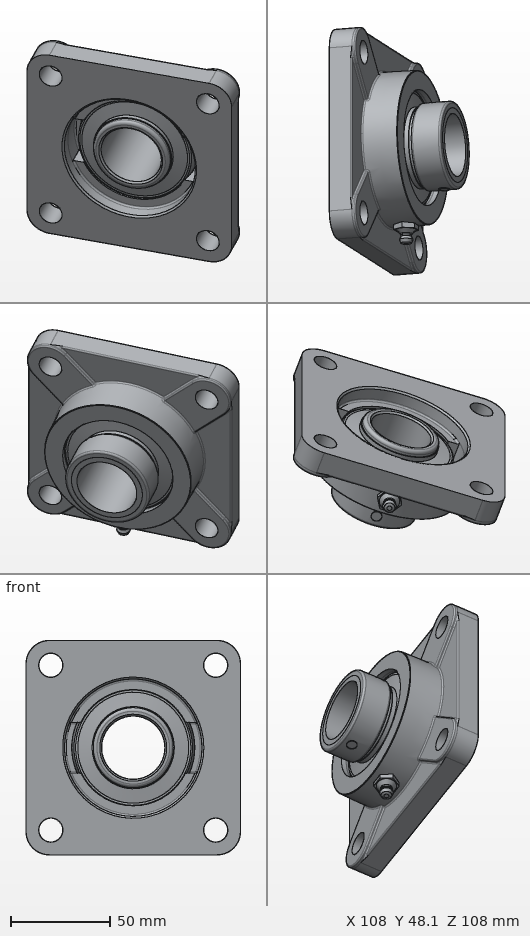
import cadquery as cq
import math


FLANGE_SIDE = 108.0
CORNER_RADIUS = 11.9
PLATE_THICKNESS = 12.1
BOLT_HOLE_DIAMETER = 12.0
BOLT_OFFSET = 41.5
BOSS_HEIGHT = 14.0
CASTING_FILLET = 0.8

HOUSING_BACK = 31.0
BARREL_BASE_RADIUS = 39.4
BARREL_BACK_RADIUS = 39.0
BARREL_CHAMFER = 0.3
RECESS_RADIUS = 34.6
RECESS_EDGE = 1.0
SEAT_OPENING_RADIUS = 29.3
LOADING_SLOT_WIDTH = 25.5
LOADING_SLOT_FILLET = 0.9

BEARING_CENTRE = 18.0
SEAT_RADIUS = 31.0
OUTER_RING_WIDTH = 18.0
OUTER_RING_CHAMFER = 0.6
SEAL_DIAMETER = 55.8
SEAL_BULGE = 1.0
SEAL_THICKNESS = 1.1
INNER_RING_DIAMETER = 41.4
INNER_RING_NECK_DIAMETER = 40.3
INNER_RING_SHOULDER = 12.4
INNER_RING_END_DIAMETER = 37.7
INNER_RING_FRONT = 2.4
INNER_RING_FILLET = 1.8
BORE_DIAMETER = 31.8
BORE_CHAMFER = 1.0

COLLAR_DIAMETER = 44.5
COLLAR_FRONT = 32.2
COLLAR_BACK = 48.1
COLLAR_FILLET = 1.1
SCREW_DIAMETER = 5.4
SCREW_CENTRE = 42.1
SCREW_END_RADIUS = 22.6

NIPPLE_CENTRE = 21.9
NIPPLE_HEX_FLATS = 11.1
NIPPLE_HEX_END = 41.8
NIPPLE_CONE_END = 43.8
NIPPLE_CONE_DIAMETER = 6.0
NIPPLE_STEM_DIAMETER = 5.4
NIPPLE_NECK_START = 44.5
NIPPLE_HEAD_START = 45.3
NIPPLE_HEAD_WIDEST = 46.9
NIPPLE_HEAD_DIAMETER = 6.9
NIPPLE_HEAD_END = 48.6
NIPPLE_TIP_DIAMETER = 2.5
NIPPLE_END = 49.1

SEAT_HALF_OPENING = math.sqrt(SEAT_RADIUS**2 - SEAT_OPENING_RADIUS**2)
RECESS_DEPTH = BEARING_CENTRE - SEAT_HALF_OPENING
NIPPLE_SHANK_START = SEAT_RADIUS + 1.1


def revolve(profile):
    """Turn a closed (radius, y) profile about the shaft axis."""
    return profile.close().revolve(360, (0, 0), (0, 1))


def along_y(start):
    """Workplane at y = start whose x is X, whose y is Z, and whose negative normal is +Y."""
    return cq.Workplane("XZ", origin=(0, start, 0))


def make_flange():
    return (
        along_y(0)
        .rect(FLANGE_SIDE, FLANGE_SIDE)
        .extrude(-PLATE_THICKNESS)
        .edges("|Y")
        .fillet(CORNER_RADIUS)
    )


def make_bolt_bosses(angle):
    """Pair of round-ended bosses running along one diagonal into opposite corners."""
    reach = (FLANGE_SIDE / 2 - CORNER_RADIUS) * math.sqrt(2)
    return (
        along_y(0)
        .slot2D(2 * (reach + CORNER_RADIUS), 2 * CORNER_RADIUS, angle)
        .extrude(-BOSS_HEIGHT)
    )


def make_barrel():
    return revolve(
        cq.Workplane("XY")
        .lineTo(BARREL_BASE_RADIUS, 0)
        .lineTo(BARREL_BASE_RADIUS, PLATE_THICKNESS)
        .lineTo(BARREL_BACK_RADIUS, HOUSING_BACK - BARREL_CHAMFER)
        .lineTo(BARREL_BACK_RADIUS - BARREL_CHAMFER, HOUSING_BACK)
        .lineTo(0, HOUSING_BACK)
    )


def make_housing():
    housing = make_flange().union(make_barrel())
    housing = housing.union(make_bolt_bosses(45)).union(make_bolt_bosses(-45))
    around_cast_faces = cq.selectors.BoxSelector(
        (-FLANGE_SIDE, PLATE_THICKNESS - 0.1, -FLANGE_SIDE),
        (FLANGE_SIDE, BOSS_HEIGHT + 0.1, FLANGE_SIDE),
    )
    housing = housing.edges(around_cast_faces).fillet(CASTING_FILLET)
    bolts = [(sx * BOLT_OFFSET, sz * BOLT_OFFSET) for sx in (-1, 1) for sz in (-1, 1)]
    bolt_holes = along_y(0).pushPoints(bolts).circle(BOLT_HOLE_DIAMETER / 2).extrude(-BOSS_HEIGHT)
    housing = housing.cut(bolt_holes)
    return housing.cut(make_cavity()).cut(make_loading_slots()).cut(make_nipple_hole())


def make_cavity():
    """Front recess, spherical bearing seat and rear opening."""
    floor_radius = RECESS_RADIUS - RECESS_EDGE
    bend = RECESS_EDGE * (1 - math.sqrt(0.5))
    return revolve(
        cq.Workplane("XY")
        .lineTo(RECESS_RADIUS + RECESS_EDGE, 0)
        .lineTo(RECESS_RADIUS, RECESS_EDGE)
        .lineTo(RECESS_RADIUS, RECESS_DEPTH - RECESS_EDGE)
        .threePointArc((RECESS_RADIUS - bend, RECESS_DEPTH - bend), (floor_radius, RECESS_DEPTH))
        .lineTo(SEAT_OPENING_RADIUS, RECESS_DEPTH)
        .threePointArc(
            (SEAT_RADIUS, BEARING_CENTRE),
            (SEAT_OPENING_RADIUS, BEARING_CENTRE + SEAT_HALF_OPENING),
        )
        .lineTo(SEAT_OPENING_RADIUS, HOUSING_BACK)
        .lineTo(0, HOUSING_BACK)
    )


def make_loading_slots():
    """Bar across the recess through which the insert is turned into its seat."""
    start = RECESS_DEPTH - RECESS_EDGE
    bar = along_y(start).rect(2 * FLANGE_SIDE, LOADING_SLOT_WIDTH).extrude(start - BEARING_CENTRE)
    limit = along_y(start).circle(RECESS_RADIUS).extrude(start - BEARING_CENTRE)
    return bar.intersect(limit).faces(">Y").edges().fillet(LOADING_SLOT_FILLET)


def make_outer_ring():
    half_width = OUTER_RING_WIDTH / 2
    chamfered_half = half_width - OUTER_RING_CHAMFER
    edge_radius = math.sqrt(SEAT_RADIUS**2 - chamfered_half**2)
    face_radius = math.sqrt(SEAT_RADIUS**2 - half_width**2) - OUTER_RING_CHAMFER
    bore_radius = SEAL_DIAMETER / 2
    front = BEARING_CENTRE - half_width
    back = BEARING_CENTRE + half_width
    return revolve(
        cq.Workplane("XY")
        .moveTo(bore_radius, front)
        .lineTo(face_radius, front)
        .lineTo(edge_radius, BEARING_CENTRE - chamfered_half)
        .threePointArc((SEAT_RADIUS, BEARING_CENTRE), (edge_radius, BEARING_CENTRE + chamfered_half))
        .lineTo(face_radius, back)
        .lineTo(bore_radius, back)
    )


def make_seal(side):
    """Dished ring closing one end of the insert; side is -1 at the front and +1 at the back."""
    outer_radius = SEAL_DIAMETER / 2
    inner_radius = INNER_RING_DIAMETER / 2
    rim = BEARING_CENTRE + side * OUTER_RING_WIDTH / 2
    crown = rim + side * SEAL_BULGE
    return revolve(
        cq.Workplane("XY")
        .moveTo(outer_radius, rim)
        .lineTo(inner_radius, crown)
        .lineTo(inner_radius, crown - side * SEAL_THICKNESS)
        .lineTo(outer_radius, rim - side * SEAL_THICKNESS)
    )


def make_inner_ring():
    body = INNER_RING_DIAMETER / 2
    outer = INNER_RING_NECK_DIAMETER / 2
    front_shoulder = BEARING_CENTRE - INNER_RING_SHOULDER
    back_shoulder = BEARING_CENTRE + INNER_RING_SHOULDER
    bore = BORE_DIAMETER / 2
    bend = INNER_RING_FILLET * (1 - math.sqrt(0.5))
    return revolve(
        cq.Workplane("XY")
        .moveTo(bore + BORE_CHAMFER, INNER_RING_FRONT)
        .lineTo(outer - INNER_RING_FILLET, INNER_RING_FRONT)
        .threePointArc(
            (outer - bend, INNER_RING_FRONT + bend),
            (outer, INNER_RING_FRONT + INNER_RING_FILLET),
        )
        .lineTo(outer, front_shoulder)
        .lineTo(body, front_shoulder)
        .lineTo(body, back_shoulder)
        .lineTo(outer, back_shoulder)
        .lineTo(outer, COLLAR_FRONT)
        .lineTo(INNER_RING_END_DIAMETER / 2, COLLAR_FRONT)
        .lineTo(INNER_RING_END_DIAMETER / 2, COLLAR_BACK)
        .lineTo(bore, COLLAR_BACK)
        .lineTo(bore, INNER_RING_FRONT + BORE_CHAMFER)
    )


def make_set_screw():
    """Radial screw from the inner ring to just outside the underside of the collar."""
    seat = INNER_RING_END_DIAMETER / 2
    blank = (
        cq.Workplane("XY", origin=(0, SCREW_CENTRE, 0))
        .circle(SCREW_DIAMETER / 2)
        .extrude(-SCREW_END_RADIUS)
    )
    return blank.cut(along_y(0).circle(seat).extrude(-COLLAR_BACK))


def make_collar():
    collar = (
        along_y(COLLAR_FRONT)
        .circle(COLLAR_DIAMETER / 2)
        .extrude(COLLAR_FRONT - COLLAR_BACK)
        .edges()
        .fillet(COLLAR_FILLET)
    )
    bore = along_y(0).circle(INNER_RING_END_DIAMETER / 2).extrude(-COLLAR_BACK)
    return collar.cut(bore).cut(make_set_screw())


def nipple_plane(distance):
    """Workplane facing -Z on the nipple axis, at a distance below the shaft axis."""
    return cq.Workplane("XY", origin=(0, NIPPLE_CENTRE, -distance))


def make_nipple_hole():
    return nipple_plane(NIPPLE_SHANK_START).circle(NIPPLE_STEM_DIAMETER / 2).extrude(
        NIPPLE_SHANK_START - NIPPLE_HEX_END
    )


def make_nipple():
    stem = (
        cq.Workplane("YZ")
        .moveTo(0, -NIPPLE_SHANK_START)
        .lineTo(NIPPLE_STEM_DIAMETER / 2, -NIPPLE_SHANK_START)
        .lineTo(NIPPLE_STEM_DIAMETER / 2, -NIPPLE_HEX_END)
        .lineTo(NIPPLE_HEX_FLATS / 2 - 0.4, -NIPPLE_HEX_END)
        .lineTo(NIPPLE_CONE_DIAMETER / 2, -NIPPLE_CONE_END)
        .lineTo(NIPPLE_STEM_DIAMETER / 2, -NIPPLE_NECK_START)
        .lineTo(NIPPLE_STEM_DIAMETER / 2, -NIPPLE_HEAD_START)
        .lineTo(NIPPLE_HEAD_DIAMETER / 2, -NIPPLE_HEAD_WIDEST)
        .lineTo(NIPPLE_STEM_DIAMETER / 2, -NIPPLE_HEAD_END)
        .lineTo(NIPPLE_TIP_DIAMETER / 2, -NIPPLE_END)
        .lineTo(0, -NIPPLE_END)
        .close()
        .revolve(360, (0, 0), (0, 1))
        .translate((0, NIPPLE_CENTRE, 0))
    )
    hexagon = (
        nipple_plane(0)
        .polygon(6, NIPPLE_HEX_FLATS / math.cos(math.pi / 6))
        .extrude(-NIPPLE_HEX_END)
    )
    barrel = along_y(0).circle(BARREL_BASE_RADIUS).extrude(-HOUSING_BACK)
    return hexagon.cut(barrel).union(stem)


housing = make_housing()
outer_ring = make_outer_ring()
inner_ring = make_inner_ring()
seals = [make_seal(side) for side in (-1, 1)]
collar = make_collar()
set_screw = make_set_screw()
nipple = make_nipple()

result = cq.Compound.makeCompound([
    housing.val(),
    outer_ring.val(),
    inner_ring.val(),
    *[seal.val() for seal in seals],
    collar.val(),
    set_screw.val(),
    nipple.val(),
])